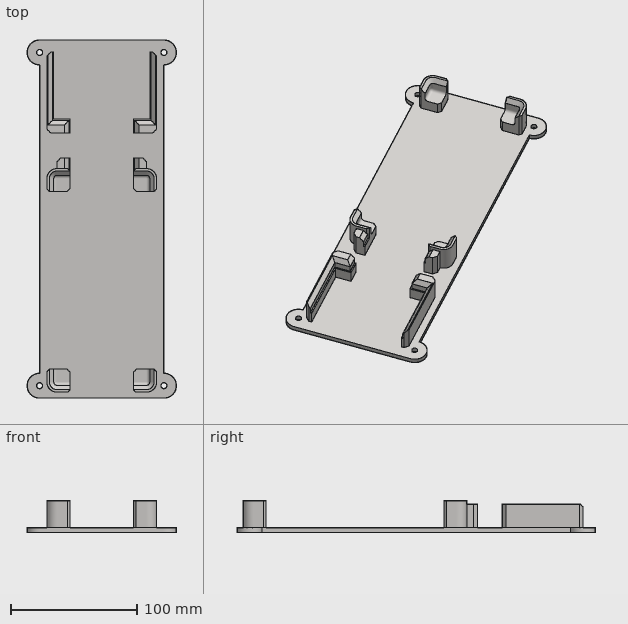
import cadquery as cq
import math

length = 284.2
thickness = 4.0
ear_radius = 10.0
ear_x = 49.3
ear_y = length / 2 - ear_radius
hole_diameter = 4.5

outer_x = 43.5
inner_x = 25.0
corner_chamfer = 3.0

bevel = 3.5
ledge_width = 1.0
ledge_drop = 5.0

rail_top = 22.5
rail_wall = 5.5
rail_y_low = 68.2
rail_y_high = 132.5
foot_depth = 11.0
stub_outer_x = 35.5
stub_y_high = 48.5

post_top = 25.3
post_width = outer_x - inner_x
post_depth = 18.2
post_y_upper = 40.0
post_y_lower = -137.3
post_radius = 8.0
rim = 2.0
seat_z = 13.5
seat_fillet = post_radius - rim - bevel
inner_chamfer = 2.5


def box(x_low, x_high, y_low, y_high, top):
    """Block standing on the underside of the plate."""
    block = cq.Workplane("XY").box(x_high - x_low, y_high - y_low, top, centered=False)
    return block.translate((x_low, y_low, 0))


def stepped_outline(plane, face, back):
    """Upright profile from a plain back to a face that is stepped and bevelled towards the top."""
    side = 1 if face > back else -1
    step_at = face - side * ledge_width
    bevel_z = rail_top - bevel
    ledge_z = bevel_z - ledge_drop
    return cq.Workplane(plane).polyline([
        (back, 0),
        (face, 0),
        (face, ledge_z),
        (step_at, ledge_z),
        (step_at, bevel_z),
        (step_at - side * bevel, rail_top),
        (back, rail_top),
    ]).close()


def facing_inward(face_x, back_x, y_low, y_high):
    """Bar along Y with its stepped face on the side towards the centre line."""
    return stepped_outline("XZ", face_x, back_x).extrude(y_low - y_high).translate((0, y_low, 0))


def make_plate():
    plate = cq.Workplane("XY").box(2 * ear_x, length, thickness, centered=(True, True, False))
    centres = [(sx * ear_x, sy * ear_y) for sx in (-1, 1) for sy in (-1, 1)]
    ears = cq.Workplane("XY").pushPoints(centres).circle(ear_radius).extrude(thickness)
    holes = cq.Workplane("XY").pushPoints(centres).circle(hole_diameter / 2).extrude(thickness)
    return plate.union(ears).cut(holes)


def make_rail():
    wall = facing_inward(outer_x - rail_wall, outer_x, rail_y_low, rail_y_high)
    foot = facing_inward(inner_x, outer_x, rail_y_low, rail_y_low + foot_depth)
    foot_across = stepped_outline("YZ", rail_y_low + foot_depth, rail_y_low).extrude(outer_x)
    outside = box(0, outer_x, rail_y_low, rail_y_high, rail_top).edges("|Z and >X").chamfer(corner_chamfer)
    return wall.union(foot.intersect(foot_across)).intersect(outside)


def make_stub():
    stub = facing_inward(inner_x, stub_outer_x, post_y_upper - rim, stub_y_high)
    return stub.edges("|Z and >X and >Y").chamfer(corner_chamfer)


def make_post():
    """Post whose rounded corner points to +X +Y, with the seat open to the other two sides."""
    post = box(inner_x, outer_x, -post_depth, 0, post_top)
    post = post.edges("|Z and >X and >Y").fillet(post_radius)
    post = post.edges("|Z and <X and <Y").chamfer(inner_chamfer)
    for corner in ("|Z and <X and >Y", "|Z and >X and <Y"):
        post = post.edges(corner).chamfer(rim)
    return post.cut(make_seat())


def seat_outline(plane):
    """Half section of the seat: filleted floor, plumb wall and bevel, from the corner axis."""
    sagitta = seat_fillet * (1 - math.sqrt(0.5))
    return (
        cq.Workplane(plane)
        .moveTo(0, seat_z)
        .threePointArc((seat_fillet - sagitta, seat_z + sagitta), (seat_fillet, seat_z + seat_fillet))
        .lineTo(seat_fillet, post_top - bevel)
        .lineTo(seat_fillet + bevel, post_top)
        .lineTo(0, post_top)
        .close()
    )


def make_seat():
    """Cutter for the seat: a turned corner, a straight run along each wall and the open floor between."""
    corner = seat_outline("XZ").revolve(360, (0, 0, 0), (0, 1, 0))
    along_y = seat_outline("XZ").extrude(post_depth)
    along_x = seat_outline("YZ").extrude(-post_width)
    floor = cq.Workplane("XY").box(post_width, post_depth, post_top - seat_z, centered=False)
    floor = floor.translate((-post_width, -post_depth, seat_z))
    seat = corner.union(along_y).union(along_x).union(floor)
    return seat.translate((outer_x - post_radius, -post_radius, 0))


post = make_post()
upper_post = post.translate((0, post_y_upper, 0))
lower_post = post.mirror("XZ").translate((0, post_y_lower, 0))
result = make_plate()
for feature in (make_rail(), make_stub(), upper_post, lower_post):
    result = result.union(feature).union(feature.mirror("YZ"))